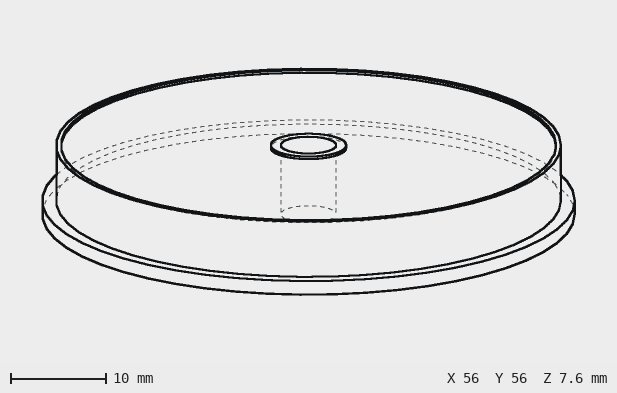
import cadquery as cq

flange_diameter = 56.0
flange_thickness = 1.5
total_height = 7.6
body_diameter = 53.1
rim_width = 0.5
recess_depth = 0.3
hub_diameter = 7.95
bore_diameter = 5.8

recess_diameter = body_diameter - 2 * rim_width
recess_floor = total_height - recess_depth

flange = cq.Workplane("XY").circle(flange_diameter / 2).extrude(flange_thickness)
body = cq.Workplane("XY").circle(body_diameter / 2).extrude(total_height)

recess = (
    cq.Workplane("XY", origin=(0, 0, recess_floor))
    .circle(recess_diameter / 2)
    .circle(hub_diameter / 2)
    .extrude(recess_depth)
)

bore = cq.Workplane("XY").circle(bore_diameter / 2).extrude(total_height)

result = flange.union(body).cut(recess).cut(bore)